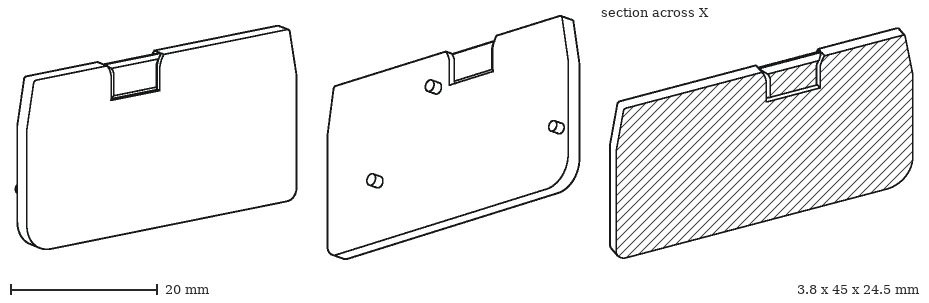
import cadquery as cq
import math

length = 45.0
height = 24.5
thickness = 2.3
shoulder_drop = 6.75
shoulder_angle = 10.0
shoulder_inset = shoulder_drop * math.tan(math.radians(shoulder_angle))
top_corner_radius = 0.45
front_corner_radius = 4.0
back_corner_radius = 1.6

pin_length = 1.5
pins = [(2.0, 19.55, 1.6), (12.9, 8.6, 1.6), (-21.0, 8.15, 1.5)]

recess_y = -4.35
mouth_half_width = 4.72
recess_half_width = 4.05
recess_height = 5.05
recess_flare_drop = 1.7
flare_bow = 0.15
web_start = 1.35
web_end = 1.65

panel_slope_run = 0.55
panel_half_width = recess_half_width - panel_slope_run
panel_mouth_half_width = 3.9
panel_flare_drop = 1.45
panel_flare_bow = 0.05
deep_panel_x = 0.4
shallow_panel_x = thickness - 0.15


def make_plate():
    half = length / 2
    top_half = half - shoulder_inset
    shoulder_z = height - shoulder_drop
    plate = (
        cq.Workplane("YZ")
        .polyline([(-half, 0), (half, 0), (half, shoulder_z), (top_half, height),
                   (-top_half, height), (-half, shoulder_z)])
        .close()
        .extrude(thickness)
    )
    plate = plate.edges("|X and >Z").fillet(top_corner_radius)
    plate = plate.edges("|X and <Z and <Y").fillet(front_corner_radius)
    return plate.edges("|X and <Z and >Y").fillet(back_corner_radius)


def flared_outline(x, top, bottom, mouth, half_width, flare_z, bow):
    """Closed outline at X, widening along arcs from flare_z up to the mouth at the top."""
    bow_y = (half_width + mouth) / 2 - bow
    bow_z = (top + flare_z) / 2
    return (
        cq.Workplane("YZ", origin=(x, recess_y, 0))
        .moveTo(-mouth, top)
        .threePointArc((-bow_y, bow_z), (-half_width, flare_z))
        .lineTo(-half_width, bottom)
        .lineTo(half_width, bottom)
        .lineTo(half_width, flare_z)
        .threePointArc((bow_y, bow_z), (mouth, top))
        .close()
    )


def recess_outline(x):
    return flared_outline(
        x, height, height - recess_height, mouth_half_width,
        recess_half_width, height - recess_flare_drop, flare_bow,
    )


def panel_outline(x):
    return flared_outline(
        x, height - panel_slope_run, height - recess_height + panel_slope_run, panel_mouth_half_width,
        panel_half_width, height - panel_flare_drop, panel_flare_bow,
    )


def make_recess(face_x, web_x):
    return recess_outline(face_x).extrude(web_x - face_x)


def make_panel(web_x, panel_x):
    """Frustum filling the recess at the web and narrowing towards the plate face."""
    base = recess_outline(web_x).val()
    face = panel_outline(panel_x).val()
    return cq.Workplane(cq.Solid.makeLoft([base, face], True))


def make_pin(y, z, diameter):
    return cq.Workplane("YZ").center(y, z).circle(diameter / 2).extrude(-pin_length)


result = make_plate()
for face_x, web_x, panel_x in [(0, web_start, deep_panel_x), (thickness, web_end, shallow_panel_x)]:
    result = result.cut(make_recess(face_x, web_x))
    result = result.union(make_panel(web_x, panel_x))
for pin_y, pin_z, pin_diameter in pins:
    result = result.union(make_pin(pin_y, pin_z, pin_diameter))